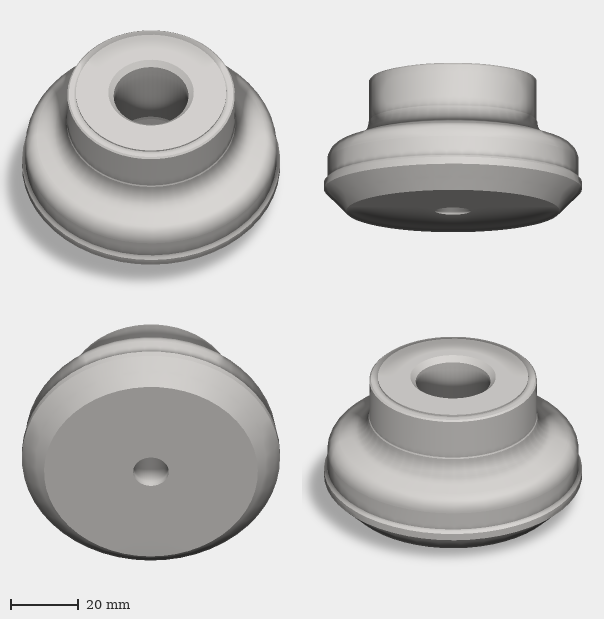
import cadquery as cq
import math

total_height = 40.05
pad_radius = 76 / 2
through_hole_radius = 10.5 / 2

pad_bottom_radius = 31.45
bead_bottom_z = 6.5
pad_height = 9.65

skirt_radius = 74.0 / 2
bead_chamfer = pad_radius - skirt_radius
skirt_top_z = 15.1
blend_radius = 5.0
shoulder_angle = math.radians(20)
collar_radius = 49.8 / 2
neck_radius = 49.3 / 2
neck_bottom_z = 27.0
neck_chamfer = 0.45
face_radius = 44.3 / 2
face_step = 0.5
rim_z = total_height - face_step

bore_radius = 22 / 2
bore_mouth_radius = 25.15 / 2
bore_mouth_depth = bore_mouth_radius - bore_radius
bore_floor_radius = 21.05 / 2
bore_floor_chamfer = bore_radius - bore_floor_radius
bore_floor_z = 15.2

blend_run = blend_radius * (1 - math.sin(shoulder_angle))
blend_rise = blend_radius * math.cos(shoulder_angle)
middle_angle = (math.pi / 2 - shoulder_angle) / 2
middle_run = blend_radius * (1 - math.cos(middle_angle))
middle_rise = blend_radius * math.sin(middle_angle)
shoulder_outer_radius = skirt_radius - blend_run
shoulder_inner_radius = collar_radius + blend_run
shoulder_outer_z = skirt_top_z + blend_rise
shoulder_rise = (shoulder_outer_radius - shoulder_inner_radius) * math.tan(shoulder_angle)
shoulder_inner_z = shoulder_outer_z + shoulder_rise
collar_z = shoulder_inner_z + blend_rise


def revolve_about_z(profile):
    """Revolve a closed profile of (radius, z) points a full turn about Z."""
    return profile.close().revolve(360, (0, 0, 0), (0, 1, 0))


def make_pad():
    profile = (
        cq.Workplane("XZ")
        .moveTo(through_hole_radius, 0)
        .lineTo(pad_bottom_radius, 0)
        .lineTo(pad_radius, bead_bottom_z)
        .lineTo(pad_radius, pad_height - bead_chamfer)
        .lineTo(pad_radius - bead_chamfer, pad_height)
        .lineTo(through_hole_radius, pad_height)
    )
    return revolve_about_z(profile)


def make_mount():
    profile = (
        cq.Workplane("XZ")
        .moveTo(through_hole_radius, pad_height)
        .lineTo(skirt_radius, pad_height)
        .lineTo(skirt_radius, skirt_top_z)
        .threePointArc(
            (skirt_radius - middle_run, skirt_top_z + middle_rise),
            (shoulder_outer_radius, shoulder_outer_z),
        )
        .lineTo(shoulder_inner_radius, shoulder_inner_z)
        .threePointArc(
            (collar_radius + middle_run, collar_z - middle_rise),
            (collar_radius, collar_z),
        )
        .lineTo(neck_radius, neck_bottom_z)
        .lineTo(neck_radius, rim_z - neck_chamfer)
        .lineTo(neck_radius - neck_chamfer, rim_z)
        .lineTo(face_radius, rim_z)
        .lineTo(face_radius, total_height)
        .lineTo(bore_mouth_radius, total_height)
        .lineTo(bore_radius, total_height - bore_mouth_depth)
        .lineTo(bore_radius, bore_floor_z + bore_floor_chamfer)
        .lineTo(bore_floor_radius, bore_floor_z)
        .lineTo(through_hole_radius, bore_floor_z)
    )
    return revolve_about_z(profile)


pad = make_pad()
mount = make_mount()

result = cq.Compound.makeCompound([pad.val(), mount.val()])